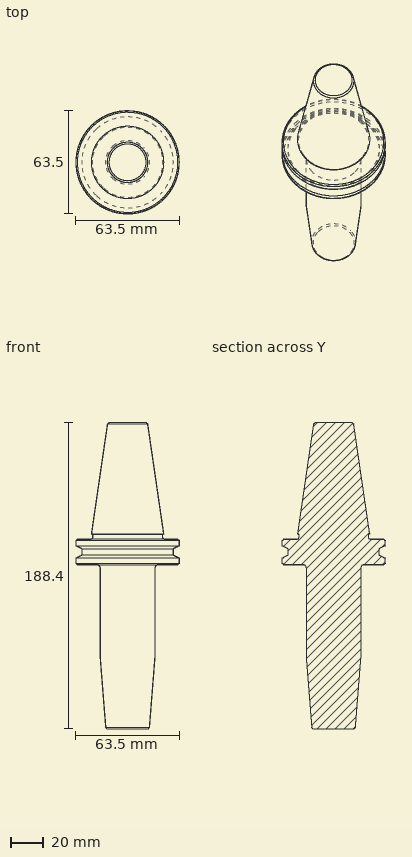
import cadquery as cq

total_height = 188.4

taper_length = 68.4
gauge_diameter = 44.5
taper_ratio = 7 / 24
small_end_chamfer = 1.0

neck_length = 3.2
neck_diameter = 43.1
neck_shoulder_height = 0.5
neck_fillet = 1.0

flange_diameter = 63.5
flange_thickness = 15.8
flange_chamfer = 1.0
groove_floor_diameter = 56.1
groove_center_below_gauge = 11.1
groove_mouth_width = 7.5
groove_floor_width = 3.8

body_diameter = 34.0
body_fillet = 1.9
nose_length = 45.2
nose_diameter = 27.0
nose_chamfer = 1.0

gauge_height = total_height - taper_length
flange_top = gauge_height - neck_length
flange_bottom = flange_top - flange_thickness
groove_height = gauge_height - groove_center_below_gauge
gauge_radius = gauge_diameter / 2
small_end_radius = gauge_radius - taper_ratio * taper_length / 2
neck_radius = neck_diameter / 2
flange_radius = flange_diameter / 2
body_radius = body_diameter / 2
nose_radius = nose_diameter / 2


def make_shank():
    """Taper with a chamfered small end, on top of its filleted relief neck."""
    taper = (
        cq.Workplane("XY", origin=(0, 0, gauge_height))
        .circle(gauge_radius)
        .workplane(offset=taper_length)
        .circle(small_end_radius)
        .loft(ruled=True)
        .faces(">Z")
        .chamfer(small_end_chamfer)
    )
    neck = (
        cq.Workplane("XZ")
        .moveTo(0, flange_top)
        .lineTo(neck_radius + neck_fillet, flange_top)
        .radiusArc((neck_radius, flange_top + neck_fillet), neck_fillet)
        .lineTo(neck_radius, gauge_height - neck_shoulder_height)
        .lineTo(gauge_radius, gauge_height)
        .lineTo(0, gauge_height)
        .close()
        .revolve(360, (0, 0, 0), (0, 1, 0))
    )
    return taper.union(neck)


def make_flange():
    """Chamfered disc with the gripper groove cut around its rim."""
    disc = (
        cq.Workplane("XY", origin=(0, 0, flange_bottom))
        .circle(flange_radius)
        .extrude(flange_thickness)
        .edges()
        .chamfer(flange_chamfer)
    )
    floor_radius = groove_floor_diameter / 2
    groove = (
        cq.Workplane("XZ")
        .polyline([
            (flange_radius, groove_height - groove_mouth_width / 2),
            (floor_radius, groove_height - groove_floor_width / 2),
            (floor_radius, groove_height + groove_floor_width / 2),
            (flange_radius, groove_height + groove_mouth_width / 2),
        ])
        .close()
        .revolve(360, (0, 0, 0), (0, 1, 0))
    )
    return disc.cut(groove)


def make_body():
    """Body with a tapered, chamfered nose and a concave fillet at the flange."""
    fillet_start = flange_bottom - body_fillet
    return (
        cq.Workplane("XZ")
        .moveTo(0, 0)
        .lineTo(nose_radius - nose_chamfer, 0)
        .lineTo(nose_radius, nose_chamfer)
        .lineTo(body_radius, nose_length)
        .lineTo(body_radius, fillet_start)
        .radiusArc((body_radius + body_fillet, flange_bottom), body_fillet)
        .lineTo(0, flange_bottom)
        .close()
        .revolve(360, (0, 0, 0), (0, 1, 0))
    )


result = make_body().union(make_flange()).union(make_shank())